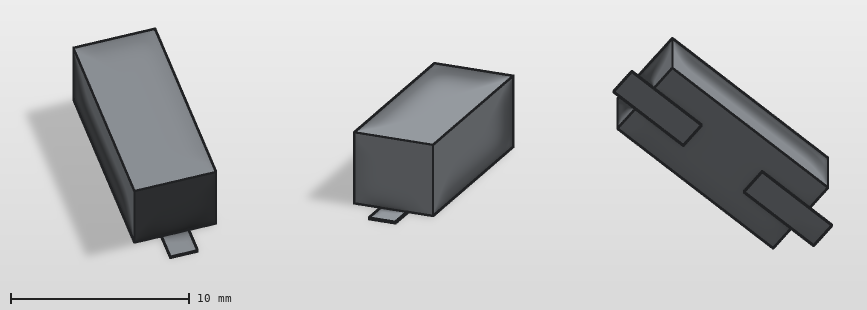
import cadquery as cq

overall_length = 14.6
overall_height = 4.4

housing_length = 11.36
housing_width = 4.8

terminal_length = 5.1
terminal_width = 1.6
terminal_thickness = 0.1

housing_height = overall_height - terminal_thickness
terminal_center_x = (overall_length - terminal_length) / 2


def make_housing():
    """Plain block resting on top of the terminals."""
    return (
        cq.Workplane("XY")
        .workplane(offset=terminal_thickness)
        .rect(housing_length, housing_width)
        .extrude(housing_height)
    )


def make_terminal(side):
    """Flat strip that sticks out at one end; side is -1 or +1 along X."""
    return (
        cq.Workplane("XY")
        .center(side * terminal_center_x, 0)
        .rect(terminal_length, terminal_width)
        .extrude(terminal_thickness)
    )


housing = make_housing()
terminals = [make_terminal(side) for side in (-1, 1)]

result = cq.Compound.makeCompound([housing.val(), *[terminal.val() for terminal in terminals]])